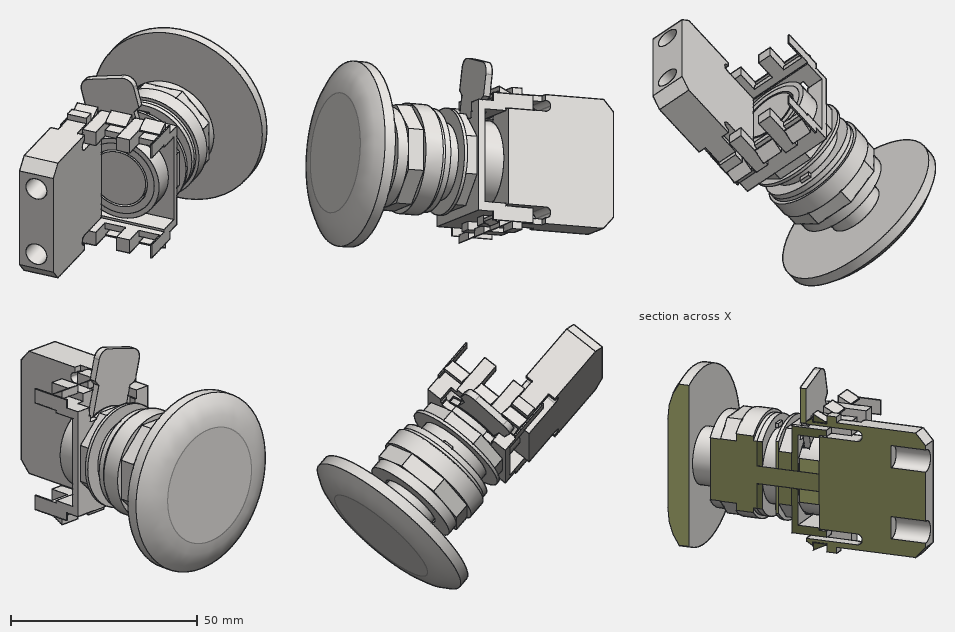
import cadquery as cq
import math


head_rear_y = 21.4
rim_front_y = 24.4
head_front_y = 27.7
bezel_front_y = 15.3
octagon_front_y = 12.3
collar_front_y = 7.75
collar_rear_y = 2.6
gasket_front_y = 1.6
washer_front_y = -3.85
nut_front_y = -4.75
bracket_front_y = -8.4
plate_rear_y = -10.4
boss_rear_y = -10.6
lever_front_y = -10.9
lever_rear_y = -12.8
barb_ridge_y = -14.75
block_front_y = -16.55
barb_tip_y = -18.4
lip_rear_y = -18.65
hook_rear_y = -21.6
tooth_rear_y = -24.5
finger_root_y = -27.5
relief_end_y = -29.0
block_rear_y = head_front_y - 75.25

head_radius = 25.0
head_flat_radius = 16.2
stem_radius = 8.0

bezel_radius = 13.5
collar_radius = 14.9
flange_radius = 14.0
sleeve_radius = 10.5
sleeve_bore_radius = 8.5
washer_radius = 14.45
nut_half_width = 12.5
tab_width = 3.0
tab_rear_y = -0.9
tab_inner_z = 11.0
tab_outer_z = 12.2

bracket_half_width = 13.5
plate_half_height = 15.1
wall_inner_z = 12.65
tooth_inner_z = 13.3
tooth_outer_z = 17.4
position_pitch = 10.0
position_columns = [-position_pitch, 0.0, position_pitch]
clip_slot_width = 6.1
barb_bottom_z = 17.0
barb_tip_z = 17.4
barb_ridge_z = 19.3
wall_notch_half_width = 9.0
plate_notch_half_width = 8.6
plate_notch_floor_z = 10.9
boss_radius = 12.2
boss_half_width = 5.6

hub_radius = 12.0
lever_tilt = 15.0
grip_left = -6.55
grip_right = 9.5
grip_top = 27.85
grip_bottom = 18.9
grip_corner_radius = 3.0
shoulder_width = 1.8
shoulder_drop = 1.2
hub_relief_radius = 10.8
upper_relief_half_width = 8.2
lower_relief_half_width = 5.6

block_width = 10.0
block_half_height = 17.6
block_chamfer_y = 2.9
block_chamfer_z = 3.2
relief_inner_z = 13.1
relief_outer_z = 16.0
relief_corner_radius = 1.4
finger_width = 5.65
finger_neck_z = 16.9
finger_peak_y = -14.6
finger_peak_z = 18.0
screw_hole_radius = 3.1
screw_hole_z = 10.0
screw_hole_depth = 10.0


def disc(radius, rear_y, front_y):
    """Cylinder on the button axis between two stations."""
    return cq.Workplane("XZ", origin=(0, front_y, 0)).circle(radius).extrude(front_y - rear_y)


def octagon(half_width, rear_y, front_y):
    """Eight-sided prism with flats facing X and Z, given half its width across flats."""
    corner_diameter = 2 * half_width / math.cos(math.pi / 8)
    prism = cq.Workplane("XZ").polygon(8, corner_diameter).extrude(front_y - rear_y)
    return prism.rotate((0, 0, 0), (0, 1, 0), 180 / 8).translate((0, front_y, 0))


def box(x_range, y_range, z_range):
    """Box given by its two limits on each axis."""
    corner = cq.Vector(x_range[0], y_range[0], z_range[0])
    size = (x_range[1] - x_range[0], y_range[1] - y_range[0], z_range[1] - z_range[0])
    return cq.Workplane(obj=cq.Solid.makeBox(*size, corner))


def side_profile(points, center_x, width):
    """Closed outline of (Y, Z) points, extruded along X about center_x."""
    return cq.Workplane("YZ", origin=(center_x, 0, 0)).polyline(points).close().extrude(width / 2, both=True)


def with_mirror(upper):
    """The shape together with its mirror image below the axis."""
    return upper.union(upper.mirror("XY"))


def make_button():
    """Domed head and the stem that runs through the operator."""
    dome_run = head_radius - head_flat_radius
    dome_rise = head_front_y - rim_front_y
    dome_radius = (dome_run**2 + dome_rise**2) / (2 * dome_rise)
    half_angle = math.asin(dome_run / dome_radius) / 2
    dome_middle = (
        head_flat_radius + dome_radius * math.sin(half_angle),
        head_front_y - dome_radius * (1 - math.cos(half_angle)),
    )
    profile = (
        cq.Workplane("XY")
        .moveTo(0, head_rear_y)
        .lineTo(head_radius, head_rear_y)
        .lineTo(head_radius, rim_front_y)
        .threePointArc(dome_middle, (head_flat_radius, head_front_y))
        .lineTo(0, head_front_y)
        .close()
    )
    head = profile.revolve(360, (0, 0, 0), (0, 1, 0))
    return head.union(disc(stem_radius, block_front_y, head_rear_y))


def make_operator():
    """Bezel, octagon and collar in front of the panel, with the sleeve behind them."""
    body = disc(bezel_radius, octagon_front_y, bezel_front_y)
    body = body.union(octagon(bezel_radius, collar_front_y, octagon_front_y))
    body = body.union(disc(collar_radius, collar_rear_y, collar_front_y))
    body = body.union(disc(flange_radius, gasket_front_y, collar_rear_y))
    body = body.union(disc(sleeve_radius, block_front_y, gasket_front_y))
    return body.cut(disc(sleeve_bore_radius, block_front_y, bezel_front_y))


def make_gasket():
    """Ring against the panel with an anti-rotation tab above and one below."""
    ring = disc(flange_radius, 0, gasket_front_y)
    tab_x = (-tab_width / 2, tab_width / 2)
    tab_y = (tab_rear_y, gasket_front_y / 2)
    ring = ring.union(box(tab_x, tab_y, (tab_inner_z, tab_outer_z)))
    ring = ring.union(box(tab_x, tab_y, (-tab_outer_z, 0)))
    return ring.cut(disc(sleeve_radius, lever_rear_y, gasket_front_y))


def make_washer():
    """Thin flat washer around the sleeve."""
    washer = disc(washer_radius, nut_front_y, washer_front_y)
    return washer.cut(disc(sleeve_radius, nut_front_y, washer_front_y))


def make_nut():
    """Octagonal nut that clamps the washer and carries the bracket."""
    nut = octagon(nut_half_width, bracket_front_y, nut_front_y)
    return nut.cut(disc(sleeve_radius, bracket_front_y, nut_front_y))


def bracket_arm():
    """Upper arm: a stepped wall cut into teeth by three clip slots, with a barb across each slot."""
    width = 2 * bracket_half_width
    wall_points = [
        (bracket_front_y, wall_inner_z),
        (bracket_front_y, plate_half_height),
        (lever_rear_y, plate_half_height),
        (lever_rear_y, tooth_outer_z),
        (tooth_rear_y, tooth_outer_z),
        (tooth_rear_y, tooth_inner_z),
        (block_front_y, tooth_inner_z),
        (block_front_y, wall_inner_z),
    ]
    arm = side_profile(wall_points, 0, width)
    slot_points = [
        (lever_rear_y, plate_half_height),
        (lever_rear_y, tooth_outer_z),
        (tooth_rear_y, tooth_outer_z),
        (tooth_rear_y, tooth_inner_z),
        (lip_rear_y, tooth_inner_z),
        (lip_rear_y, plate_half_height),
    ]
    barb_points = [
        (barb_ridge_y, barb_bottom_z),
        (barb_ridge_y, barb_ridge_z),
        (barb_tip_y, barb_tip_z),
        (barb_tip_y, barb_bottom_z),
    ]
    for column_x in position_columns:
        arm = arm.cut(side_profile(slot_points, column_x, clip_slot_width))
        arm = arm.union(side_profile(barb_points, column_x, clip_slot_width))
    return arm


def lever_notch():
    """Opening in the top of the bracket in which the lever swings."""
    wall_x = (-wall_notch_half_width, wall_notch_half_width)
    plate_x = (-plate_notch_half_width, plate_notch_half_width)
    through_wall = box(wall_x, (lever_rear_y, bracket_front_y), (wall_inner_z, plate_half_height))
    into_plate = box(plate_x, (plate_rear_y, bracket_front_y), (plate_notch_floor_z, wall_inner_z))
    return through_wall.union(into_plate)


def plate_boss():
    """Round boss with flat sides, standing slightly proud of the plate to carry the lever hub."""
    sides = box(
        (-boss_half_width, boss_half_width),
        (boss_rear_y, bracket_front_y),
        (-boss_radius, boss_radius),
    )
    return disc(boss_radius, boss_rear_y, bracket_front_y).intersect(sides)


def make_bracket():
    """Plate clamped by the nut, with an upper and a lower arm reaching back to the contact block."""
    plate = box(
        (-bracket_half_width, bracket_half_width),
        (plate_rear_y, bracket_front_y),
        (-plate_half_height, plate_half_height),
    )
    bracket = plate.union(with_mirror(bracket_arm())).cut(lever_notch())
    bracket = bracket.union(plate_boss())
    return bracket.cut(disc(sleeve_radius, boss_rear_y, bracket_front_y))


def hub_relief():
    """Shallow flat-sided grooves across the top and bottom of the hub, level with the grip plate."""
    groove_y = (lever_rear_y, lever_front_y)
    upper = box((-upper_relief_half_width, upper_relief_half_width), groove_y, (0, hub_radius))
    lower = box((-lower_relief_half_width, lower_relief_half_width), groove_y, (-hub_radius, 0))
    return upper.union(lower).cut(disc(hub_relief_radius, lever_rear_y, lever_front_y))


def make_lever():
    """Tilted grip plate on a hub ring that turns around the sleeve."""
    neck_left = grip_left + shoulder_width
    neck_right = grip_right - shoulder_width
    neck_top = grip_bottom - shoulder_drop
    thickness = lever_front_y - lever_rear_y
    grip = (
        cq.Workplane("XZ", origin=(0, lever_front_y, 0))
        .moveTo(neck_left, 0)
        .lineTo(neck_left, neck_top)
        .lineTo(grip_left, grip_bottom)
        .lineTo(grip_left, grip_top)
        .lineTo(grip_right, grip_top)
        .lineTo(grip_right, grip_bottom)
        .lineTo(neck_right, neck_top)
        .lineTo(neck_right, 0)
        .close()
        .extrude(thickness)
    )
    grip = grip.edges("|Y").edges(">Z").fillet(grip_corner_radius)
    grip = grip.rotate((0, 0, 0), (0, 1, 0), -lever_tilt)
    hub = disc(hub_radius, block_front_y, boss_rear_y).cut(hub_relief())
    return hub.union(grip).cut(disc(sleeve_radius, block_front_y, boss_rear_y))


def block_relief():
    """Clearance above the block's nose for the bracket arm, closed by a rounded end."""
    slot = box(
        (-block_width / 2, block_width / 2),
        (relief_end_y, block_front_y),
        (relief_inner_z, relief_outer_z),
    )
    slot = slot.edges("|X and <Y").fillet(relief_corner_radius)
    above = box(
        (-block_width / 2, block_width / 2),
        (finger_root_y, block_front_y),
        (relief_outer_z, block_half_height),
    )
    return slot.union(above)


def block_finger():
    """Springy finger with a release hook, reaching under the barb to a raised nose."""
    finger_points = [
        (finger_root_y, relief_outer_z),
        (finger_root_y, block_half_height),
        (hook_rear_y, block_half_height),
        (hook_rear_y, barb_ridge_z),
        (lip_rear_y, barb_ridge_z),
        (lip_rear_y, finger_neck_z),
        (finger_peak_y, finger_neck_z),
        (finger_peak_y, finger_peak_z),
        (lever_rear_y, finger_neck_z),
        (lever_rear_y, relief_outer_z),
    ]
    return side_profile(finger_points, 0, finger_width)


def make_contact_block():
    """Terminal block clipped on the bracket's left position."""
    body_points = [
        (block_front_y, -block_half_height),
        (block_front_y, block_half_height),
        (block_rear_y + block_chamfer_y, block_half_height),
        (block_rear_y, block_half_height - block_chamfer_z),
        (block_rear_y, block_chamfer_z - block_half_height),
        (block_rear_y + block_chamfer_y, -block_half_height),
    ]
    block = side_profile(body_points, 0, block_width).cut(with_mirror(block_relief()))
    block = block.union(with_mirror(block_finger()))
    screw_hole = disc(screw_hole_radius, block_rear_y, block_rear_y + screw_hole_depth)
    for hole_z in (-screw_hole_z, screw_hole_z):
        block = block.cut(screw_hole.translate((0, 0, hole_z)))
    return block.translate((position_columns[0], 0, 0))


button = make_button()
operator = make_operator()
gasket = make_gasket()
washer = make_washer()
nut = make_nut()
bracket = make_bracket()
lever = make_lever()
contact_block = make_contact_block()

result = cq.Compound.makeCompound(
    [
        button.val(),
        operator.val(),
        gasket.val(),
        washer.val(),
        nut.val(),
        bracket.val(),
        lever.val(),
        contact_block.val(),
    ]
)